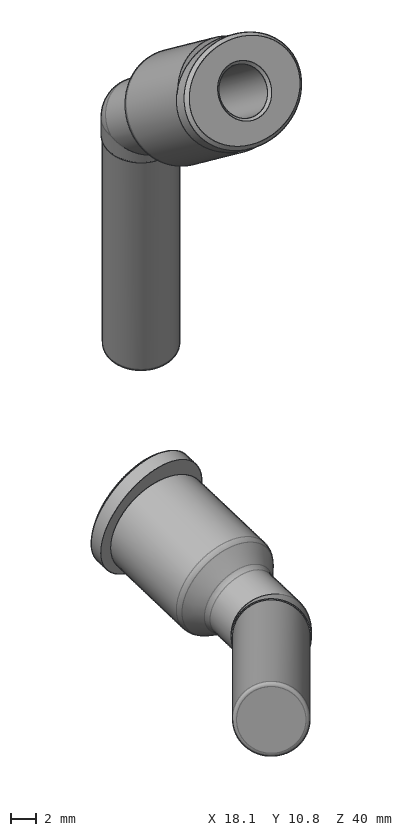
import cadquery as cq

tube_radius = 3.0
tube_end_fillet = 0.3

neck_diameter = 6.2
neck_radius = neck_diameter / 2
collar_start = 23.1
bend_height = 25.0
tilt_angle = 45

shoulder_start = 4.05
shoulder_end = 5.87
shoulder_fillet = 0.8
body_radius = 4.55
body_end = 14.65
rim_radius = 3.68
rim_height = 0.1

stem_radius = 2.8
flange_start = 15.55
flange_end = 17.1
flange_half_length = 5.4
flange_half_width = 4.35
flange_chamfer = 0.3

bore_radius = 2.1
bore_mouth_chamfer = 0.25
bore_end = shoulder_end


def cylinder(radius, start, end):
    """Cylinder about the Z axis between two heights."""
    return cq.Workplane("XY").workplane(offset=start).circle(radius).extrude(end - start)


def straight_leg():
    """Tube with a rounded end, its collar and the ball that closes the bend."""
    tube = cylinder(tube_radius, 0, collar_start).faces("<Z").edges().fillet(tube_end_fillet)
    collar = cylinder(neck_radius, collar_start, bend_height)
    ball = cq.Workplane("XY").sphere(neck_radius).translate((0, 0, bend_height))
    return tube.union(collar).union(ball)


def socket_body():
    """Neck, rounded conical shoulder and body, built upright from the bend centre."""
    profile = (
        cq.Workplane("XZ")
        .lineTo(neck_radius, 0)
        .lineTo(neck_radius, shoulder_start)
        .lineTo(body_radius, shoulder_end)
        .lineTo(body_radius, body_end)
        .lineTo(0, body_end)
        .close()
    )
    body = profile.revolve(360, (0, 0, 0), (0, 1, 0))
    select_reach = 2 * body_radius
    select_margin = 0.4
    shoulder_edges = cq.selectors.BoxSelector(
        (-select_reach, -select_reach, shoulder_start - select_margin),
        (select_reach, select_reach, shoulder_end + select_margin),
        boundingbox=True,
    )
    body = body.edges(shoulder_edges).fillet(shoulder_fillet)
    return body.union(cylinder(rim_radius, body_end, body_end + rim_height))


def release_button():
    """Stem and elliptical flange, longest along Y."""
    stem = cylinder(stem_radius, body_end, flange_start)
    flange = (
        cq.Workplane("XY")
        .workplane(offset=flange_start)
        .ellipse(flange_half_width, flange_half_length)
        .extrude(flange_end - flange_start)
        .faces(">Z")
        .chamfer(flange_chamfer)
    )
    return stem.union(flange)


def bore():
    """Blind hole from the flange face, with its countersink."""
    hole = cylinder(bore_radius, bore_end, flange_end)
    mouth_start = flange_end - bore_mouth_chamfer
    mouth = cq.Workplane("XY").add(
        cq.Solid.makeCone(
            bore_radius,
            bore_radius + bore_mouth_chamfer,
            bore_mouth_chamfer,
            cq.Vector(0, 0, mouth_start),
        )
    )
    return hole.union(mouth)


def tilt(shape):
    """Lean an upright shape toward +X and move it onto the bend centre."""
    return shape.rotate((0, 0, 0), (0, 1, 0), tilt_angle).translate((0, 0, bend_height))


socket = socket_body().union(release_button())
result = straight_leg().union(tilt(socket)).cut(tilt(bore()))